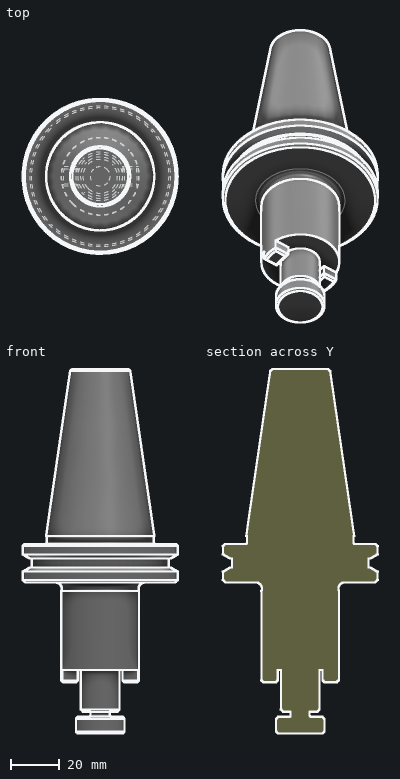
import cadquery as cq
import math


GAUGE_DIA = 44.45
TAPER_LENGTH = 68.4
TAPER_RATIO = 7 / 24
TAPER_TIP_CHAMFER = 0.8
RELIEF_DIA = 43.9
RELIEF_FILLET = 0.5

FLANGE_DIA = 63.55
FLANGE_TOP = -3.2
FLANGE_BOTTOM = -19.1
FLANGE_TOP_CHAMFER = 0.9
FLANGE_BOTTOM_CHAMFER = 1.1
GROOVE_DIA = 56.25
GROOVE_CENTER = -11.1
GROOVE_MOUTH_WIDTH = 7.0
GROOVE_FLOOR_WIDTH = 3.6
GROOVE_FLANK_ANGLE = 30

BODY_DIA = 32.0
BODY_BOTTOM = -55.0
UNDERCUT_RADIUS = 2.5
UNDERCUT_HEIGHT = 3.5

SPIGOT_DIA = 16.0
SPIGOT_LENGTH = 17.0
SPIGOT_CHAMFER = 1.0

NECK_DIA = 8.0
NECK_FILLET = 0.6
HEAD_DIA = 20.0
HEAD_HEIGHT = 7.0
HEAD_CHAMFER = 0.9
SCREW_BOTTOM = -81.0

KEY_WIDTH = 8.0
KEY_HEIGHT = 5.0
KEY_INNER_X = 9.1
KEY_CHAMFER = 0.9


def revolve_profile(profile):
    """Close a half profile drawn in the XZ plane and turn it about the Z axis."""
    return profile.close().revolve(360, (0, 0), (0, 1))


def make_shank():
    """Taper with a chamfered tip, and the filleted relief between taper and flange."""
    gauge_radius = GAUGE_DIA / 2
    tip_radius = gauge_radius - TAPER_LENGTH * TAPER_RATIO / 2
    taper = revolve_profile(
        cq.Workplane("XZ")
        .moveTo(0, 0)
        .lineTo(gauge_radius, 0)
        .lineTo(tip_radius, TAPER_LENGTH)
        .lineTo(0, TAPER_LENGTH)
    )
    taper = taper.faces(">Z").chamfer(TAPER_TIP_CHAMFER)
    relief_radius = RELIEF_DIA / 2
    flare_radius = relief_radius + RELIEF_FILLET
    top_arc_height = math.sqrt(RELIEF_FILLET**2 - (flare_radius - gauge_radius) ** 2)
    relief = revolve_profile(
        cq.Workplane("XZ")
        .moveTo(0, FLANGE_TOP)
        .lineTo(flare_radius, FLANGE_TOP)
        .radiusArc((relief_radius, FLANGE_TOP + RELIEF_FILLET), RELIEF_FILLET)
        .lineTo(relief_radius, -top_arc_height)
        .radiusArc((gauge_radius, 0), RELIEF_FILLET)
        .lineTo(0, 0)
    )
    return taper.union(relief)


def make_flange():
    """Flange with chamfered rims and a groove whose sloped flanks end in a square floor slot."""
    flange_radius = FLANGE_DIA / 2
    half_mouth = GROOVE_MOUTH_WIDTH / 2
    half_floor = GROOVE_FLOOR_WIDTH / 2
    floor_radius = GROOVE_DIA / 2
    flank_depth = (half_mouth - half_floor) / math.tan(math.radians(GROOVE_FLANK_ANGLE))
    slot_radius = flange_radius - flank_depth
    disc = (
        cq.Workplane("XY", origin=(0, 0, FLANGE_BOTTOM))
        .circle(flange_radius)
        .extrude(FLANGE_TOP - FLANGE_BOTTOM)
        .faces(">Z")
        .edges()
        .chamfer(FLANGE_TOP_CHAMFER)
        .faces("<Z")
        .edges()
        .chamfer(FLANGE_BOTTOM_CHAMFER)
    )
    groove = revolve_profile(
        cq.Workplane("XZ")
        .moveTo(flange_radius, GROOVE_CENTER + half_mouth)
        .lineTo(slot_radius, GROOVE_CENTER + half_floor)
        .lineTo(floor_radius, GROOVE_CENTER + half_floor)
        .lineTo(floor_radius, GROOVE_CENTER - half_floor)
        .lineTo(slot_radius, GROOVE_CENTER - half_floor)
        .lineTo(flange_radius, GROOVE_CENTER - half_mouth)
    )
    return disc.cut(groove)


def make_body():
    """Cylindrical body with an undercut arc that runs tangent into the flange face."""
    radius = BODY_DIA / 2
    arc_center_z = FLANGE_BOTTOM - UNDERCUT_RADIUS
    arc_end_drop = UNDERCUT_HEIGHT - UNDERCUT_RADIUS
    arc_center_x = radius + math.sqrt(UNDERCUT_RADIUS**2 - arc_end_drop**2)
    return revolve_profile(
        cq.Workplane("XZ")
        .moveTo(0, BODY_BOTTOM)
        .lineTo(radius, BODY_BOTTOM)
        .lineTo(radius, FLANGE_BOTTOM - UNDERCUT_HEIGHT)
        .threePointArc(
            (arc_center_x - UNDERCUT_RADIUS, arc_center_z),
            (arc_center_x, FLANGE_BOTTOM),
        )
        .lineTo(0, FLANGE_BOTTOM)
    )


def make_spigot():
    """Centring spigot with a chamfered end."""
    return (
        cq.Workplane("XY", origin=(0, 0, BODY_BOTTOM))
        .circle(SPIGOT_DIA / 2)
        .extrude(-SPIGOT_LENGTH)
        .faces("<Z")
        .chamfer(SPIGOT_CHAMFER)
    )


def make_screw():
    """Screw head and the neck, filleted at the head, that joins it to the spigot."""
    head_top = SCREW_BOTTOM + HEAD_HEIGHT
    spigot_bottom = BODY_BOTTOM - SPIGOT_LENGTH
    head = (
        cq.Workplane("XY", origin=(0, 0, SCREW_BOTTOM))
        .circle(HEAD_DIA / 2)
        .extrude(HEAD_HEIGHT)
        .edges()
        .chamfer(HEAD_CHAMFER)
    )
    neck_radius = NECK_DIA / 2
    flare_radius = neck_radius + NECK_FILLET
    neck = revolve_profile(
        cq.Workplane("XZ")
        .moveTo(0, head_top)
        .lineTo(flare_radius, head_top)
        .radiusArc((neck_radius, head_top + NECK_FILLET), NECK_FILLET)
        .lineTo(neck_radius, spigot_bottom)
        .lineTo(0, spigot_bottom)
    )
    return head.union(neck)


def make_keys():
    """Two opposite drive keys that follow the body's outside diameter."""
    length = BODY_DIA / 2 - KEY_INNER_X
    envelope = (
        cq.Workplane("XY", origin=(0, 0, BODY_BOTTOM))
        .circle(BODY_DIA / 2)
        .extrude(-KEY_HEIGHT)
    )
    keys = cq.Workplane("XY")
    for side in (-1, 1):
        block = (
            cq.Workplane("XY", origin=(side * (KEY_INNER_X + length / 2), 0, BODY_BOTTOM))
            .rect(length, KEY_WIDTH)
            .extrude(-KEY_HEIGHT)
            .intersect(envelope)
            .faces("<Z")
            .chamfer(KEY_CHAMFER)
        )
        keys = keys.add(block)
    return keys.combine()


result = (
    make_shank()
    .union(make_flange())
    .union(make_body())
    .union(make_spigot())
    .union(make_screw())
    .union(make_keys())
)